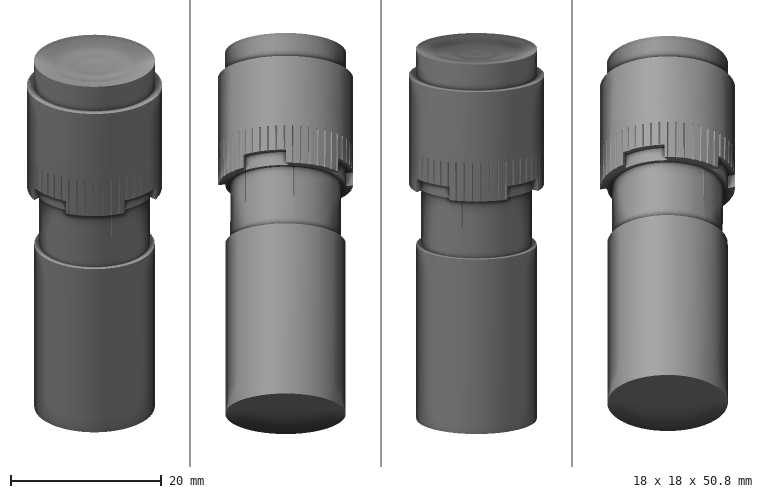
import cadquery as cq
import math

total_height = 50.8
body_diameter = 16.0
body_top = 24.0
neck_diameter = 14.7

button_diameter = 16.1
dish_depth = 0.75

cap_diameter = 18.0
cap_top = 47.25
cap_band_bottom = 40.05
skirt_bottom_diameter = 17.9
skirt_bottom = 32.2

collar_diameter = 16.0

slot_count = 50
slot_top = 37.45
slot_width = 0.3
slot_depth = 0.2
slot_start_angle = 0.5

notch_count = 4
notch_width = 5.95
notch_top = 34.05

slit_outer_spacing = 6.95
slit_width = 0.1
slit_depth = 0.25
slit_bottom = 28.15


def cylinder(diameter, bottom, top):
    """Round bar on the Z axis between two heights."""
    return cq.Workplane("XY").workplane(offset=bottom).circle(diameter / 2).extrude(top - bottom)


def block(x_size, y_size, bottom, top):
    """Box centred on the Z axis between two heights."""
    return cq.Workplane("XY").workplane(offset=bottom).rect(x_size, y_size).extrude(top - bottom)


def cut_around(shape, cutter, count):
    """Cut evenly spaced copies of a cutter around the Z axis."""
    for index in range(count):
        shape = shape.cut(cutter.rotate((0, 0, 0), (0, 0, 1), index * 360 / count))
    return shape


def make_button():
    """Push button with a spherical dish in its top."""
    rim_radius = button_diameter / 2
    sphere_radius = (rim_radius**2 + dish_depth**2) / (2 * dish_depth)
    sphere_center = total_height - dish_depth + sphere_radius
    dish = cq.Workplane("XY").sphere(sphere_radius).translate((0, 0, sphere_center))
    return cylinder(button_diameter, cap_top, total_height).cut(dish)


def make_cap():
    """Cap band and skirt, with grip slots and rim notches cut into the skirt."""
    profile = (
        cq.Workplane("XZ")
        .moveTo(0, skirt_bottom)
        .lineTo(skirt_bottom_diameter / 2, skirt_bottom)
        .lineTo(cap_diameter / 2, cap_band_bottom)
        .lineTo(cap_diameter / 2, cap_top)
        .lineTo(0, cap_top)
        .close()
    )
    cap = profile.revolve(360, (0, 0, 0), (0, 1, 0))
    front = (0, -cap_diameter / 2, 0)
    slot = (
        cq.Workplane("XY")
        .workplane(offset=skirt_bottom)
        .polyline([(-slot_width, -slot_depth), (slot_width, -slot_depth), (0, slot_depth)])
        .close()
        .extrude(slot_top - skirt_bottom)
        .translate(front)
        .rotate((0, 0, 0), (0, 0, 1), slot_start_angle)
    )
    cap = cut_around(cap, slot, slot_count)
    notch = block(notch_width, cap_diameter / 2, skirt_bottom, notch_top).translate(front)
    return cut_around(cap, notch, notch_count)


def make_neck():
    """Neck with a pair of slits on each side."""
    slit_y = (slit_outer_spacing - slit_width) / 2
    surface_x = math.sqrt((neck_diameter / 2) ** 2 - slit_y**2)
    neck = cylinder(neck_diameter, body_top, cap_top)
    slit = block(2 * slit_depth, slit_width, slit_bottom, skirt_bottom)
    for x in (-surface_x, surface_x):
        for y in (-slit_y, slit_y):
            neck = neck.cut(slit.translate((x, y, 0)))
    return neck


result = (
    cylinder(body_diameter, 0, body_top)
    .union(make_neck())
    .union(cylinder(collar_diameter, skirt_bottom, cap_top))
    .union(make_cap())
    .union(make_button())
)